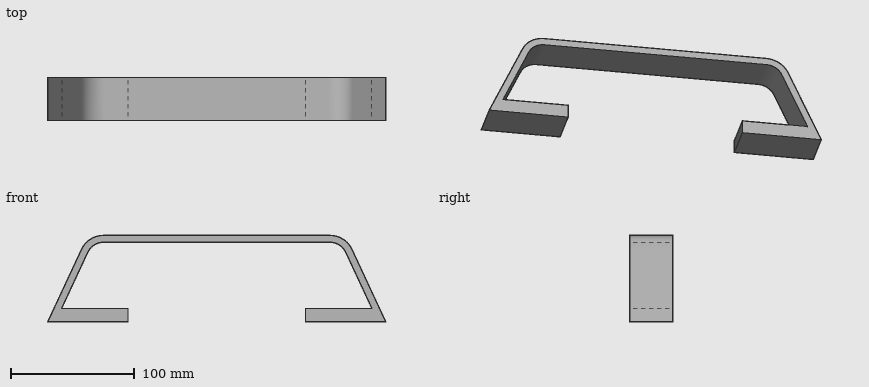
import cadquery as cq
import math

length = 273.0
depth = 35.0
height = 70.0

band_thickness = 5.7
leg_angle = math.radians(65.0)
outer_bend_radius = 20.0
inner_bend_radius = outer_bend_radius - band_thickness
foot_length = 65.0
foot_thickness = 11.0


def trapezoid(half_base, bottom, top, bend_radius):
    """Symmetric prism with sloping ends and rounded upper edges."""
    half_top = half_base - (top - bottom) / math.tan(leg_angle)
    return (
        cq.Workplane("XZ")
        .polyline([(-half_base, bottom), (half_base, bottom), (half_top, top), (-half_top, top)])
        .close()
        .extrude(depth / 2, both=True)
        .edges("|Y and >Z")
        .fillet(bend_radius)
    )


outer = trapezoid(length / 2, 0, height, outer_bend_radius)

opening_half_base = (
    length / 2 - foot_thickness / math.tan(leg_angle) - band_thickness / math.sin(leg_angle)
)
opening = trapezoid(
    opening_half_base, foot_thickness, height - band_thickness, inner_bend_radius
)

foot_gap = cq.Workplane("XY").box(
    length - 2 * foot_length, depth, foot_thickness, centered=(True, True, False)
)

result = outer.cut(opening).cut(foot_gap)